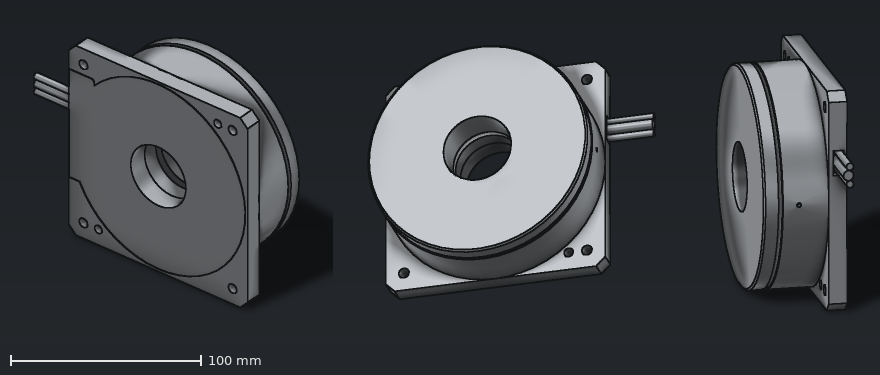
import cadquery as cq
import math

plate_thickness = 10.0
hub_front = 12.0
hub_web_end = 21.5
spigot_front = 25.8
housing_end = 35.0
table_front = 37.0
table_end = 45.0

plate_side = 120.0
plate_half = plate_side / 2
plate_chamfer = 5.0
hole_offset = 50.0
mount_hole_diameter = 5.5
pin_hole_offset = 40.0
pin_hole_diameter = 5.0

body_radius = plate_half
housing_chamfer = 0.5
table_chamfer = 1.0
bore_diameter = 37.0
bore_radius = bore_diameter / 2
hub_radius = 48.7
spigot_radius = 33.0

recess_depth = 0.3
recess_radius = 58.5
recess_top = 43.4
recess_bottom = -25.1
recess_wall_x = -42.9
recess_corner_radius = 2.0

screw_hole_y = 26.0
screw_hole_diameter = 2.2
screw_hole_depth = 4.4
drill_tip_angle = 118.0

slot_width = 5.7
slot_height = 13.6
slot_depth = 11.6
slot_y = 4.6
slot_z = 21.8
plug_length = slot_depth / 2
total_length = 145.0
cable_reach = total_length - plate_side
main_cable_diameter = 5.5
side_cable_diameter = 3.9
side_cable_spacing = 4.8
side_cable_y = slot_y - (main_cable_diameter - side_cable_diameter) / 2


def disc(radius, y_start, y_end):
    """Cylinder along Y between two depths."""
    profile = cq.Workplane("XZ", origin=(0, y_start, 0)).circle(radius)
    return profile.extrude(y_start - y_end)


def rod(diameter, x_start, length, y, z):
    """Cylinder that runs along +X."""
    return cq.Workplane("YZ", origin=(x_start, y, z)).circle(diameter / 2).extrude(length)


def slot_block(length, x_start):
    """Rectangular block with the section of the cable slot."""
    block = cq.Workplane("XY").box(length, slot_width, slot_height, centered=(False, True, True))
    return block.translate((x_start, slot_y, slot_z))


def plate_holes():
    """Four corner mounting holes and two smaller pin holes at opposite corners."""
    corners = [(sx * hole_offset, sz * hole_offset) for sx in (-1, 1) for sz in (-1, 1)]
    pins = [(s * pin_hole_offset, s * hole_offset) for s in (-1, 1)]
    holes = cq.Workplane("XZ").pushPoints(corners).circle(mount_hole_diameter / 2).extrude(-plate_thickness)
    return holes.union(
        cq.Workplane("XZ").pushPoints(pins).circle(pin_hole_diameter / 2).extrude(-plate_thickness)
    )


def face_recess():
    """Round recess joined to a channel that leaves through the -X edge of the plate."""
    wall_foot_z = math.sqrt(recess_radius**2 - recess_wall_x**2)
    bottom_x = -math.sqrt(recess_radius**2 - recess_bottom**2)
    outline = (
        cq.Workplane("XZ")
        .moveTo(-plate_half, recess_top)
        .lineTo(recess_wall_x - recess_corner_radius, recess_top)
        .radiusArc((recess_wall_x, recess_top - recess_corner_radius), recess_corner_radius)
        .lineTo(recess_wall_x, wall_foot_z)
        .threePointArc((recess_radius, 0), (bottom_x, recess_bottom))
        .lineTo(-plate_half, recess_bottom)
        .close()
    )
    return outline.extrude(-recess_depth)


def screw_hole():
    """Blind drilled hole with a conical tip, entering the housing from -X."""
    radius = screw_hole_diameter / 2
    tip_length = radius / math.tan(math.radians(drill_tip_angle / 2))
    floor_x = -body_radius + screw_hole_depth
    profile = (
        cq.Workplane("XY", origin=(0, screw_hole_y, 0))
        .moveTo(-body_radius, 0)
        .lineTo(-body_radius, radius)
        .lineTo(floor_x, radius)
        .lineTo(floor_x + tip_length, 0)
        .close()
    )
    return profile.revolve(360, (0, 0, 0), (1, 0, 0))


def make_housing():
    """Mounting plate and round body, hollow behind the front wall to take the hub."""
    plate = cq.Workplane("XZ").rect(plate_side, plate_side).extrude(-plate_thickness)
    plate = plate.edges("|Y").chamfer(plate_chamfer).cut(plate_holes())
    barrel = disc(body_radius, plate_thickness, housing_end).faces(">Y").chamfer(housing_chamfer)
    housing = plate.union(barrel)
    housing = housing.cut(disc(bore_radius, 0, hub_front))
    housing = housing.cut(disc(hub_radius, hub_front, housing_end))
    housing = housing.cut(face_recess())
    housing = housing.cut(screw_hole())
    return housing.cut(slot_block(slot_depth, -plate_half))


def make_hub():
    """Cup-shaped hub that fills the housing and stands out of it as the neck below the table."""
    hub = disc(hub_radius, hub_front, table_front)
    hub = hub.cut(disc(bore_radius, hub_front, hub_web_end))
    return hub.cut(disc(spigot_radius, hub_web_end, table_front))


def make_table():
    """Round output table with a chamfered rim and a spigot that enters the hub cavity."""
    table = disc(body_radius, table_front, table_end).faces(">Y").edges().chamfer(table_chamfer)
    table = table.union(disc(spigot_radius, spigot_front, table_front))
    return table.cut(disc(bore_radius, spigot_front, table_end))


def make_cable_set():
    """Three parallel cables held by a plug in the bottom of the slot."""
    plug_x = -plate_half + slot_depth - plug_length
    start_x = -plate_half - cable_reach
    length = plug_x - start_x
    cable_set = slot_block(plug_length, plug_x)
    cable_set = cable_set.union(rod(main_cable_diameter, start_x, length, slot_y, slot_z))
    for side in (-1, 1):
        z = slot_z + side * side_cable_spacing
        cable_set = cable_set.union(rod(side_cable_diameter, start_x, length, side_cable_y, z))
    return cable_set


housing = make_housing()
hub = make_hub()
table = make_table()
cable_set = make_cable_set()

result = cq.Compound.makeCompound(
    [body.solids().val() for body in (housing, hub, table, cable_set)]
)